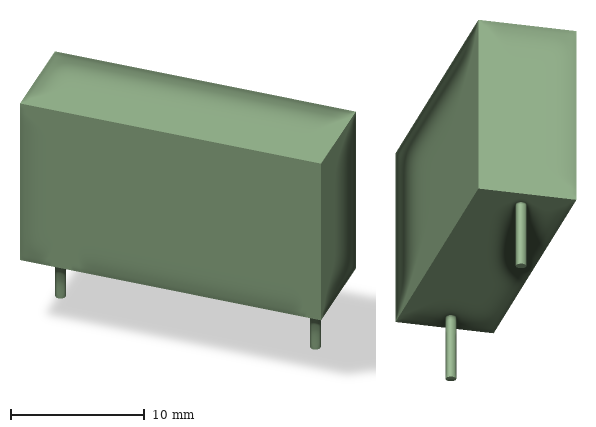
import cadquery as cq

housing_length = 24.0
housing_width = 7.6
housing_height = 14.0

pin_diameter = 0.8
pin_length = 5.1
pin_pitch = 20.32


def make_housing():
    """Plain block standing on the XY plane."""
    return cq.Workplane("XY").box(
        housing_length, housing_width, housing_height, centered=(True, True, False)
    )


def make_pin(x):
    """Straight lead hanging from the underside of the housing at the given X."""
    return cq.Workplane("XY").center(x, 0).circle(pin_diameter / 2).extrude(-pin_length)


housing = make_housing()
pins = [make_pin(side * pin_pitch / 2) for side in (-1, 1)]

result = cq.Compound.makeCompound([housing.val(), *[pin.val() for pin in pins]])